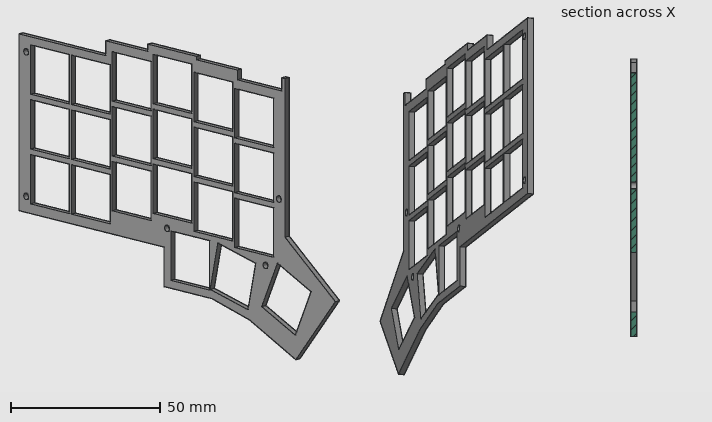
import cadquery as cq

thickness = 2.0

overall_length = 147.7
overall_height = 96.7
field_top = 61.5
right_edge = 124.2
tab_width = 1.6
tab_left = right_edge - tab_width
plate_top = 69.1
column_3_top = 66.6
column_5_top = 68.0
column_6_top = 64.5
thumb_left = 67.6
thumb_bottom = -13.7
outline = [
    (0, 0),
    (0, field_top),
    (40.5, field_top),
    (40.5, column_3_top),
    (60.1, column_3_top),
    (60.1, plate_top),
    (82.9, plate_top),
    (82.9, column_5_top),
    (101.9, column_5_top),
    (101.9, column_6_top),
    (tab_left, column_6_top),
    (tab_left, plate_top),
    (right_edge, plate_top),
    (right_edge, 14.0),
    (overall_length, -4.0),
    (129.2, plate_top - overall_height),
    (107.7, -17.9),
    (90.1, thumb_bottom),
    (thumb_left, thumb_bottom),
    (thumb_left, 0),
]

window_width = 18.0
window_height = 17.1
key_pitch = 19.0
row_count = 3
first_key_x = 14.5
first_key_z = 12.0
column_rises = [0, 0, 4.7, 7.4, 4.7, 2.7]

thumb_keys = [
    (79.9, -2.4, 0, window_width, window_height),
    (99.8, -4.1, 12, window_width, window_height),
    (124.8, -7.4, 24, window_height, window_width),
]

hole_diameter = 2.2
hole_centers = [(3.4, 55.8), (3.4, 5.6), (69.1, 6.8), (121.3, 26.7), (115.0, 2.5)]


def extrude_through(sketch):
    """Extrude an XZ sketch from Y = 0 to the back face of the plate."""
    return sketch.extrude(-thickness)


def key_window(x, z, tilt, width, height):
    """Cutter for one rectangular key window, tilted clockwise as seen from -Y."""
    sketch = cq.Workplane("XZ").center(x, z).transformed(rotate=(0, 0, -tilt)).rect(width, height)
    return extrude_through(sketch)


plate = extrude_through(cq.Workplane("XZ").polyline(outline).close())

for column, rise in enumerate(column_rises):
    for row in range(row_count):
        key_x = first_key_x + column * key_pitch
        key_z = first_key_z + rise + row * key_pitch
        plate = plate.cut(key_window(key_x, key_z, 0, window_width, window_height))

for thumb_key in thumb_keys:
    plate = plate.cut(key_window(*thumb_key))

mounting_holes = extrude_through(cq.Workplane("XZ").pushPoints(hole_centers).circle(hole_diameter / 2))
result = plate.cut(mounting_holes)